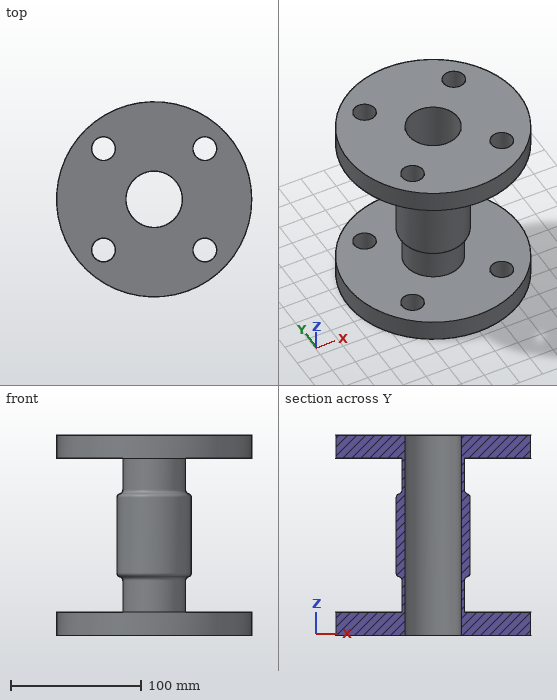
import cadquery as cq
import math

total_length = 154.0

flange_diameter = 150.0
flange_thickness = 18.0
bolt_circle_diameter = 110.0
bolt_hole_diameter = 18.0
bolt_hole_count = 4
first_bolt_angle = 45.0

neck_diameter = 48.3
bore_diameter = 43.1
sleeve_diameter = 57.2
neck_length = 24.2
shoulder_radius = 3.0

half_length = total_length / 2
flange_radius = flange_diameter / 2
neck_radius = neck_diameter / 2
sleeve_radius = sleeve_diameter / 2
flange_inner_z = half_length - flange_thickness
shoulder_outer_z = flange_inner_z - neck_length

shoulder_step = sleeve_radius - neck_radius
shoulder_length = math.sqrt(shoulder_step * (4 * shoulder_radius - shoulder_step))
shoulder_inner_z = shoulder_outer_z - shoulder_length
shoulder_middle_radius = (neck_radius + sleeve_radius) / 2
shoulder_middle_z = (shoulder_outer_z + shoulder_inner_z) / 2


def make_body():
    """Revolve the solid outline: flange, neck, S-shaped shoulder and sleeve, mirrored about mid-length."""
    profile = (
        cq.Workplane("XZ")
        .moveTo(0, -half_length)
        .lineTo(flange_radius, -half_length)
        .lineTo(flange_radius, -flange_inner_z)
        .lineTo(neck_radius, -flange_inner_z)
        .lineTo(neck_radius, -shoulder_outer_z)
        .tangentArcPoint((shoulder_middle_radius, -shoulder_middle_z), relative=False)
        .tangentArcPoint((sleeve_radius, -shoulder_inner_z), relative=False)
        .lineTo(sleeve_radius, shoulder_inner_z)
        .tangentArcPoint((shoulder_middle_radius, shoulder_middle_z), relative=False)
        .tangentArcPoint((neck_radius, shoulder_outer_z), relative=False)
        .lineTo(neck_radius, flange_inner_z)
        .lineTo(flange_radius, flange_inner_z)
        .lineTo(flange_radius, half_length)
        .lineTo(0, half_length)
        .close()
    )
    return profile.revolve(360, (0, 0), (0, 1))


def make_bore():
    """Straight passage through the whole length."""
    return cq.Workplane("XY").circle(bore_diameter / 2).extrude(half_length, both=True)


def make_bolt_holes():
    """Bolt hole cylinders, long enough to pass through both flanges."""
    return (
        cq.Workplane("XY")
        .polarArray(bolt_circle_diameter / 2, first_bolt_angle, 360, bolt_hole_count)
        .circle(bolt_hole_diameter / 2)
        .extrude(half_length, both=True)
    )


result = make_body().cut(make_bore()).cut(make_bolt_holes())